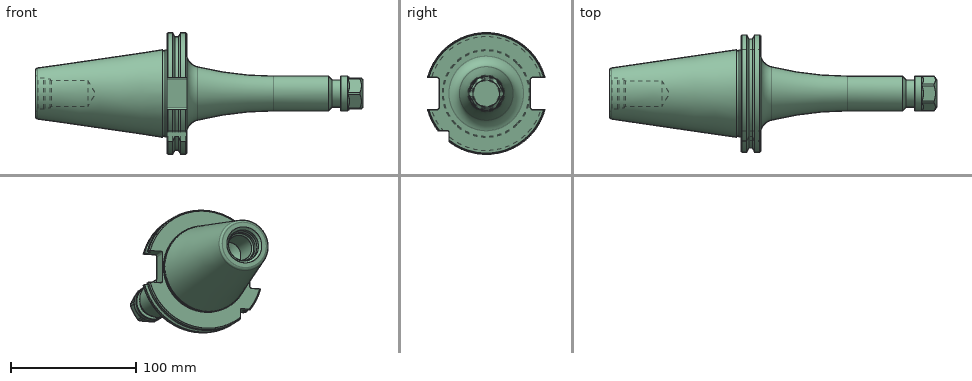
import cadquery as cq
import math

TOTAL_LENGTH = 261.5

GAUGE_X = 101.5
GAUGE_RADIUS = 35.0
TAPER_RATIO = 7 / 24
TAPER_END_FILLET = 2.0
RELIEF_RADIUS = 34.3
RELIEF_WIDTH = 1.8
SHOULDER_RADIUS = 34.8

FLANGE_X = 105.0
FLANGE_WIDTH = 16.0
FLANGE_RADIUS = 48.7
RIM_CHAMFER = 1.0
GROOVE_X = 112.7
GROOVE_DEPTH = 3.1
GROOVE_FLOOR_WIDTH = 3.0
GROOVE_WALL_ANGLE = 30.0

SLOT_WIDTH = 25.6
SLOT_FLOOR_PLUS_Y = 35.3
SLOT_FLOOR_MINUS_Y = 37.7
SLOT_FILLET = 1.5
NOTCH_WALL = 29.8
NOTCH_FILLET = 1.0

ARM_ROOT_RADIUS = 29.8
ROOT_ARC_LENGTH = 8.5
ARC_JOIN_RADIUS = 21.5
ARM_STRAIGHT_X = 190.0
ARM_DIAMETER = 28.0
ARM_END_X = 237.0
NECK_RADIUS = 11.0

MOUTH_RADIUS = 14.6
PILOT_RADIUS = 12.5
PILOT_END_X = 6.5
STEP_RADIUS = 11.5
STEP_END_X = 11.5
THREAD_RADIUS = 10.2
BORE_DEPTH = 41.9
DRILL_POINT_ANGLE = 118.0

NUT_X = 243.5
COLLAR_DIAMETER = 28.0
HEX_CORNER_RADIUS = 13.9
COLLAR_WIDTH = 5.8
COLLAR_BACK_CHAMFER = 0.5
COLLAR_SLOPE = 1.5
HEX_ACROSS_FLATS = 24.9
END_CHAMFER_LENGTH = 2.4
END_CHAMFER_DEPTH = 3.1

FLANGE_END_X = FLANGE_X + FLANGE_WIDTH
ARM_RADIUS = ARM_DIAMETER / 2
COLLAR_RADIUS = COLLAR_DIAMETER / 2
TAPER_END_RADIUS = GAUGE_RADIUS - GAUGE_X * TAPER_RATIO / 2
OVERCUT = 2.5


def revolve_about_x(outline):
    """Turn a closed outline, drawn as (x, radius), into a solid around the X axis."""
    return outline.close().revolve(360, (0, 0, 0), (1, 0, 0))


def shank_and_flange():
    groove_floor_radius = FLANGE_RADIUS - GROOVE_DEPTH
    floor_half = GROOVE_FLOOR_WIDTH / 2
    mouth_half = floor_half + GROOVE_DEPTH * math.tan(math.radians(GROOVE_WALL_ANGLE))
    relief_end_x = GAUGE_X + RELIEF_WIDTH
    rim_edge_radius = FLANGE_RADIUS - RIM_CHAMFER
    outline = (
        cq.Workplane("XY")
        .moveTo(0, 0)
        .lineTo(0, TAPER_END_RADIUS)
        .lineTo(GAUGE_X, GAUGE_RADIUS)
        .lineTo(GAUGE_X, RELIEF_RADIUS)
        .lineTo(relief_end_x, RELIEF_RADIUS)
        .lineTo(relief_end_x, SHOULDER_RADIUS)
        .lineTo(FLANGE_X, SHOULDER_RADIUS)
        .lineTo(FLANGE_X, rim_edge_radius)
        .lineTo(FLANGE_X + RIM_CHAMFER, FLANGE_RADIUS)
        .lineTo(GROOVE_X - mouth_half, FLANGE_RADIUS)
        .lineTo(GROOVE_X - floor_half, groove_floor_radius)
        .lineTo(GROOVE_X + floor_half, groove_floor_radius)
        .lineTo(GROOVE_X + mouth_half, FLANGE_RADIUS)
        .lineTo(FLANGE_END_X - RIM_CHAMFER, FLANGE_RADIUS)
        .lineTo(FLANGE_END_X, rim_edge_radius)
        .lineTo(FLANGE_END_X, 0)
    )
    return revolve_about_x(outline).faces("<X").edges().fillet(TAPER_END_FILLET)


def extension_arm():
    join_x = FLANGE_END_X + ROOT_ARC_LENGTH
    arc_run = ARM_STRAIGHT_X - join_x
    arc_rise = ARC_JOIN_RADIUS - ARM_RADIUS
    long_arc_radius = (arc_run**2 + arc_rise**2) / (2 * arc_rise)
    half_angle = math.asin(arc_run / long_arc_radius) / 2
    arc_middle = (
        ARM_STRAIGHT_X - long_arc_radius * math.sin(half_angle),
        ARM_RADIUS + long_arc_radius * (1 - math.cos(half_angle)),
    )
    outline = (
        cq.Workplane("XY")
        .moveTo(FLANGE_END_X, 0)
        .lineTo(NUT_X, 0)
        .lineTo(NUT_X, NECK_RADIUS)
        .lineTo(ARM_END_X, NECK_RADIUS)
        .lineTo(ARM_END_X - (ARM_RADIUS - NECK_RADIUS), ARM_RADIUS)
        .lineTo(ARM_STRAIGHT_X, ARM_RADIUS)
        .threePointArc(arc_middle, (join_x, ARC_JOIN_RADIUS))
        .tangentArcPoint((FLANGE_END_X, ARM_ROOT_RADIUS), relative=False)
    )
    return revolve_about_x(outline)


def drawbar_bore():
    mouth_depth = MOUTH_RADIUS - PILOT_RADIUS
    point_length = THREAD_RADIUS / math.tan(math.radians(DRILL_POINT_ANGLE / 2))
    outline = (
        cq.Workplane("XY")
        .moveTo(0, 0)
        .lineTo(0, MOUTH_RADIUS)
        .lineTo(mouth_depth, PILOT_RADIUS)
        .lineTo(PILOT_END_X, PILOT_RADIUS)
        .lineTo(PILOT_END_X + PILOT_RADIUS - STEP_RADIUS, STEP_RADIUS)
        .lineTo(STEP_END_X, STEP_RADIUS)
        .lineTo(STEP_END_X + STEP_RADIUS - THREAD_RADIUS, THREAD_RADIUS)
        .lineTo(BORE_DEPTH, THREAD_RADIUS)
        .lineTo(BORE_DEPTH + point_length, 0)
    )
    return revolve_about_x(outline)


def flange_cutter(y_near, y_far, z_low, z_high):
    """Block as wide as the flange, spanning the given Y and Z ranges."""
    block = cq.Workplane("XY").box(FLANGE_WIDTH, y_far - y_near, z_high - z_low, centered=False)
    return block.translate((FLANGE_X, y_near, z_low))


def drive_slots():
    reach = FLANGE_RADIUS + OVERCUT
    half = SLOT_WIDTH / 2
    plus_slot = flange_cutter(SLOT_FLOOR_PLUS_Y, reach, -half, half)
    minus_slot = flange_cutter(-reach, -SLOT_FLOOR_MINUS_Y, -half, half)
    plus_slot = plus_slot.faces("<Y").edges("|X").fillet(SLOT_FILLET)
    minus_slot = minus_slot.faces(">Y").edges("|X").fillet(SLOT_FILLET)
    return plus_slot, minus_slot


def orientation_notch():
    reach = FLANGE_RADIUS + OVERCUT
    notch = flange_cutter(-reach, -NOTCH_WALL, -reach, -NOTCH_WALL)
    return notch.edges("|X and >Y and >Z").fillet(NOTCH_FILLET)


def tool_holder():
    holder = shank_and_flange().union(extension_arm()).cut(drawbar_bore())
    for slot in drive_slots():
        holder = holder.cut(slot)
    return holder.cut(orientation_notch())


def clamping_nut():
    collar_end_x = NUT_X + COLLAR_WIDTH
    slope_end_x = collar_end_x + COLLAR_SLOPE
    hex_apothem = HEX_ACROSS_FLATS / 2
    hex_corner_diameter = HEX_ACROSS_FLATS / math.cos(math.pi / 6)
    collar = revolve_about_x(
        cq.Workplane("XY")
        .moveTo(NUT_X, 0)
        .lineTo(NUT_X, COLLAR_RADIUS - COLLAR_BACK_CHAMFER)
        .lineTo(NUT_X + COLLAR_BACK_CHAMFER, COLLAR_RADIUS)
        .lineTo(collar_end_x, COLLAR_RADIUS)
        .lineTo(slope_end_x, hex_apothem)
        .lineTo(slope_end_x, 0)
    )
    hexagon = (
        cq.Workplane("YZ", origin=(collar_end_x, 0, 0))
        .polygon(6, hex_corner_diameter)
        .extrude(TOTAL_LENGTH - collar_end_x)
    )
    turned_envelope = revolve_about_x(
        cq.Workplane("XY")
        .moveTo(collar_end_x, 0)
        .lineTo(collar_end_x, HEX_CORNER_RADIUS)
        .lineTo(TOTAL_LENGTH - END_CHAMFER_LENGTH, HEX_CORNER_RADIUS)
        .lineTo(TOTAL_LENGTH, HEX_CORNER_RADIUS - END_CHAMFER_DEPTH)
        .lineTo(TOTAL_LENGTH, 0)
    )
    return collar.union(hexagon.intersect(turned_envelope))


holder = tool_holder()
nut = clamping_nut()

result = cq.Compound.makeCompound([holder.val(), nut.val()])